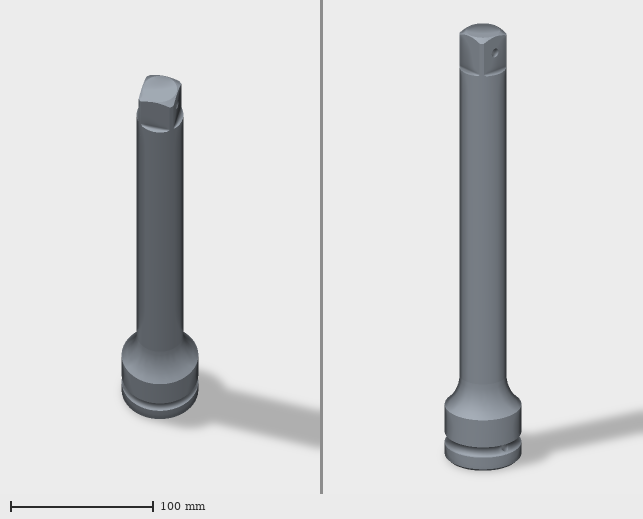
import cadquery as cq
import math

total_length = 330.0
head_radius = 27.0
shaft_radius = 16.5

bottom_chamfer = 2.0
groove_height = 15.0
groove_radius = 4.0
head_top_height = 40.0

neck_top_height = 63.0

square_sides = 4
square_side = 25.4
square_length = 28.0
square_root_fillet = 1.5
tip_radius = 12.0
tip_taper_angle = 30.0
tip_taper_height = (shaft_radius - tip_radius) * math.tan(math.radians(tip_taper_angle))

pin_hole_diameter = 6.5
square_pin_drop = 13.0


def neck_midpoint():
    """Middle of the neck arc, as (radius, height)."""
    drop = neck_top_height - head_top_height
    flare = head_radius - shaft_radius
    arc_radius = (drop**2 + flare**2) / (2 * flare)
    half_angle = math.asin(drop / arc_radius) / 2
    radius = shaft_radius + arc_radius * (1 - math.cos(half_angle))
    height = neck_top_height - arc_radius * math.sin(half_angle)
    return radius, height


def turned_body():
    """Solid of revolution: head with ring groove, neck, shaft and tapered tip."""
    profile = (
        cq.Workplane("XZ")
        .lineTo(head_radius - bottom_chamfer, 0)
        .lineTo(head_radius, bottom_chamfer)
        .lineTo(head_radius, groove_height - groove_radius)
        .threePointArc(
            (head_radius - groove_radius, groove_height),
            (head_radius, groove_height + groove_radius),
        )
        .lineTo(head_radius, head_top_height)
        .threePointArc(neck_midpoint(), (shaft_radius, neck_top_height))
        .lineTo(shaft_radius, total_length - tip_taper_height)
        .lineTo(tip_radius, total_length)
        .lineTo(0, total_length)
        .close()
    )
    return profile.revolve(360, (0, 0, 0), (0, 1, 0))


def flat_cutter(angle):
    """Block that mills one flat of the square, with a rounded inner root edge."""
    block_depth = shaft_radius
    block = (
        cq.Workplane("XY", origin=(0, 0, total_length - square_length))
        .center(square_side / 2 + block_depth / 2, 0)
        .rect(block_depth, 2 * head_radius)
        .extrude(square_length)
        .edges("<X and <Z")
        .fillet(square_root_fillet)
    )
    return block.rotate((0, 0, 0), (0, 0, 1), angle)


def pin_hole_cutter(height):
    """Cylinder through the part along X at the given height."""
    return (
        cq.Workplane("YZ", origin=(0, 0, height))
        .circle(pin_hole_diameter / 2)
        .extrude(head_radius, both=True)
    )


result = turned_body()

for angle in range(0, 360, 360 // square_sides):
    result = result.cut(flat_cutter(angle))

for height in (groove_height, total_length - square_pin_drop):
    result = result.cut(pin_hole_cutter(height))